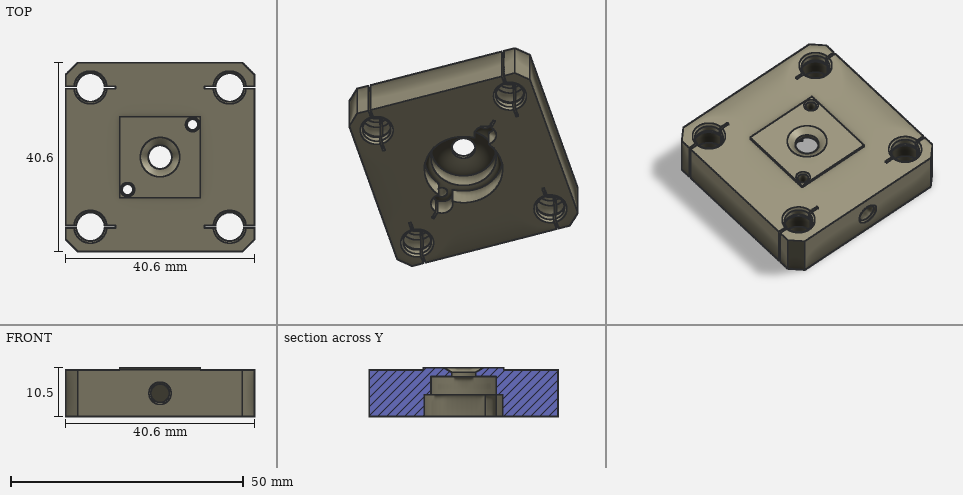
import cadquery as cq
import math

side = 40.6
total_height = 10.5
pad_height = 0.5
body_height = total_height - pad_height
corner_chamfer = 2.6
pad_side = 17.38

rod_spacing = 29.92
rod_diameter = 6.1
rod_chamfer = 0.5
rod_land_end = 2.0
relief_diameter = 7.05
relief_taper_height = 1.2
slit_width = 0.5
slit_length = 10.7

bore_diameter = 5.05
countersink_diameter = 8.5
countersink_angle = 120.0
cavity_diameter = 14.0
cavity_ceiling = 8.55
recess_diameter = 16.8
recess_depth = 4.65

screw_offset = 7.0
screw_diameter = 2.3
screw_chamfer = 0.35
screw_head_diameter = 4.7
head_slit_reach = 14.0

side_hole_diameter = 3.98
side_hole_chamfer = 0.4
side_hole_depth = 2 * side_hole_diameter


def upright_box(length, width, height):
    """Box centred on the Z axis and standing on Z = 0."""
    return cq.Workplane("XY").box(length, width, height, centered=(True, True, False))


def turned_cutter(profile):
    """Revolve (radius, z) points, which start and end on the Z axis, into a solid."""
    return cq.Workplane("XZ").polyline(profile).close().revolve(360, (0, 0), (0, 1))


def make_plate():
    plate = upright_box(side, side, body_height).edges("|Z").chamfer(corner_chamfer)
    return plate.union(upright_box(pad_side, pad_side, total_height))


def rod_hole():
    """Through hole with a chamfer and a land at each end, relieved in the middle."""
    radius = rod_diameter / 2
    mouth = radius + rod_chamfer
    relief = relief_diameter / 2
    upper_land_end = body_height - rod_land_end
    return turned_cutter([
        (0, 0),
        (mouth, 0),
        (radius, rod_chamfer),
        (radius, rod_land_end),
        (relief, rod_land_end + relief_taper_height),
        (relief, upper_land_end - relief_taper_height),
        (radius, upper_land_end),
        (radius, body_height - rod_chamfer),
        (mouth, body_height),
        (0, body_height),
    ])


def clamp_slit(x_sign):
    """Slit running inward along X from the side of the plate."""
    slit = upright_box(slit_length, slit_width, body_height)
    return slit.translate((x_sign * (side - slit_length) / 2, 0, 0))


def centre_bore():
    bore = bore_diameter / 2
    mouth = countersink_diameter / 2
    cavity = cavity_diameter / 2
    recess = recess_diameter / 2
    cone_depth = (mouth - bore) / math.tan(math.radians(countersink_angle / 2))
    return turned_cutter([
        (0, 0),
        (recess, 0),
        (recess, recess_depth),
        (cavity, recess_depth),
        (cavity, cavity_ceiling),
        (bore, cavity_ceiling),
        (bore, total_height - cone_depth),
        (mouth, total_height),
        (0, total_height),
    ])


def screw_hole():
    """Through hole chamfered at the pad, with a round head pocket below."""
    radius = screw_diameter / 2
    head = screw_head_diameter / 2
    return turned_cutter([
        (0, 0),
        (head, 0),
        (head, recess_depth),
        (radius, recess_depth),
        (radius, total_height - screw_chamfer),
        (radius + screw_chamfer, total_height),
        (0, total_height),
    ])


def head_slit():
    """Narrow slit along the diagonal, reaching just past both screw head pockets."""
    slit = upright_box(2 * head_slit_reach, slit_width, recess_depth)
    return slit.rotate((0, 0, 0), (0, 0, 1), 45)


def side_hole():
    radius = side_hole_diameter / 2
    hole = turned_cutter([
        (0, 0),
        (radius + side_hole_chamfer, 0),
        (radius, side_hole_chamfer),
        (radius, side_hole_depth),
        (0, side_hole_depth),
    ])
    hole = hole.rotate((0, 0, 0), (1, 0, 0), -90)
    return hole.translate((0, -side / 2, body_height / 2))


result = make_plate()

for x_sign in (-1, 1):
    for y_sign in (-1, 1):
        rod_x = x_sign * rod_spacing / 2
        rod_y = y_sign * rod_spacing / 2
        result = result.cut(rod_hole().translate((rod_x, rod_y, 0)))
        result = result.cut(clamp_slit(x_sign).translate((0, rod_y, 0)))

result = result.cut(centre_bore())

for sign in (-1, 1):
    screw_place = sign * screw_offset
    result = result.cut(screw_hole().translate((screw_place, screw_place, 0)))

result = result.cut(head_slit())
result = result.cut(side_hole())